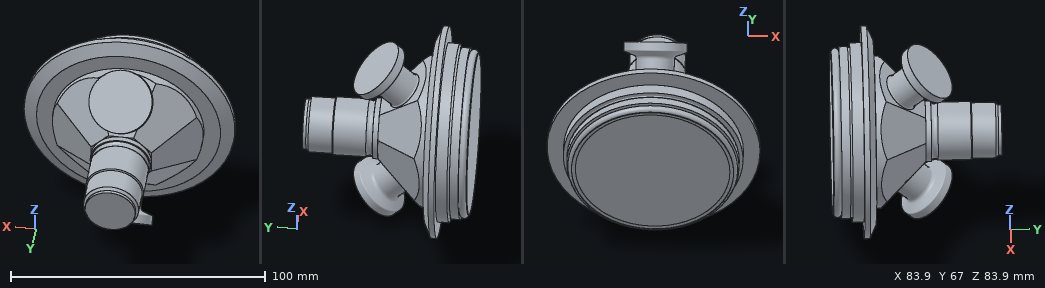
import cadquery as cq
import math

end_disc_thickness = 0.3
land_start = 3.35
land_end = 6.8
relief_end = 7.6
flange_start = 12.2
flange_rim_end = 14.4
flange_end = 16.95
pyramid_top = 37.0
collar_end = 39.2
neck_start = 41.8
neck_step_start = 54.8
neck_step_end = 55.2
tip_chamfer_start = 64.6
overall_length = 67.0

end_disc_diameter = 63.9
land_diameter = 67.9
relief_depth = 0.4
spigot_diameter = 70.8
flange_diameter = 83.9
flange_back_diameter = 73.2
shoulder_diameter = 60.0

collar_diameter = 24.0
neck_diameter = 23.0
neck_groove_depth = 0.7
tip_body_diameter = 22.0
tip_diameter = 20.0

facet_count = 8
facet_angle = 45.0

ring_section_diameter = land_start - end_disc_thickness
ring_section_radius = ring_section_diameter / 2
ring_centre_radius = end_disc_diameter / 2
ring_centre_y = end_disc_thickness + ring_section_radius
ring_groove_radius = ring_centre_radius - ring_section_radius

port_length = 16.0
port_tube_diameter = 15.0
port_flange_diameter = 25.0
port_rim_thickness = 3.7
port_flange_taper = 20.0
port_rim_fillet = 0.5
port_neck_fillet = 1.5
port_foot_fillet = 0.5
port_offset_down_facet = 13.5


def turned_about_y(profile):
    """Revolve a profile of (radius, y) points about the Y axis."""
    return profile.close().revolve(360, (0, 0, 0), (0, 1, 0))


def make_head_base():
    """Turned base with the end disc, O-ring groove, land, flange and shoulder."""
    land_radius = land_diameter / 2
    spigot_radius = spigot_diameter / 2
    shoulder_radius = shoulder_diameter / 2
    relief_middle = (land_radius - relief_depth, (land_end + relief_end) / 2)
    profile = (
        cq.Workplane("XY")
        .lineTo(end_disc_diameter / 2, 0)
        .lineTo(end_disc_diameter / 2, end_disc_thickness)
        .lineTo(ring_groove_radius, end_disc_thickness)
        .lineTo(ring_groove_radius, land_start)
        .lineTo(land_radius, land_start)
        .lineTo(land_radius, land_end)
        .threePointArc(relief_middle, (land_radius, relief_end))
        .lineTo(spigot_radius, relief_end)
        .lineTo(spigot_radius, flange_start)
        .lineTo(flange_diameter / 2, flange_start)
        .lineTo(flange_diameter / 2, flange_rim_end)
        .lineTo(flange_back_diameter / 2, flange_end)
        .lineTo(0, flange_end)
    )
    shoulder_blank = (
        cq.Workplane("XZ", origin=(0, flange_end, 0))
        .circle(shoulder_radius)
        .extrude(flange_end - pyramid_top)
    )
    return turned_about_y(profile).union(shoulder_blank.intersect(make_pyramid()))


def make_pyramid():
    """Truncated pyramid whose facets just touch the collar at its top."""
    height = pyramid_top - flange_end
    top_apothem = collar_diameter / 2
    base_apothem = top_apothem + height / math.tan(math.radians(facet_angle))
    corner_ratio = 1 / math.cos(math.pi / facet_count)
    half_facet = 180 / facet_count
    pyramid = (
        cq.Workplane("XY")
        .polygon(facet_count, 2 * base_apothem * corner_ratio)
        .workplane(offset=height)
        .polygon(facet_count, 2 * top_apothem * corner_ratio)
        .loft(ruled=True)
    )
    return (
        pyramid.rotate((0, 0, 0), (0, 0, 1), half_facet)
        .rotate((0, 0, 0), (1, 0, 0), -90)
        .translate((0, flange_end, 0))
    )


def make_neck():
    """Turned neck with a collar, a round groove, a step and a chamfered tip."""
    collar_radius = collar_diameter / 2
    neck_radius = neck_diameter / 2
    tip_body_radius = tip_body_diameter / 2
    tip_radius = tip_diameter / 2
    tip_chamfer_end = tip_chamfer_start + tip_body_radius - tip_radius
    groove_middle = (neck_radius - neck_groove_depth, (collar_end + neck_start) / 2)
    profile = (
        cq.Workplane("XY")
        .moveTo(0, pyramid_top)
        .lineTo(collar_radius, pyramid_top)
        .lineTo(collar_radius, collar_end)
        .lineTo(neck_radius, collar_end)
        .threePointArc(groove_middle, (neck_radius, neck_start))
        .lineTo(neck_radius, neck_step_start)
        .lineTo(tip_body_radius, neck_step_end)
        .lineTo(tip_body_radius, tip_chamfer_start)
        .lineTo(tip_radius, tip_chamfer_end)
        .lineTo(tip_radius, overall_length)
        .lineTo(0, overall_length)
    )
    return turned_about_y(profile)


def make_head():
    """Base and neck as one solid."""
    return make_head_base().union(make_neck())


def make_o_ring():
    """O-ring of round section, seated behind the end disc."""
    section = cq.Workplane("XY").moveTo(ring_centre_radius, ring_centre_y).circle(ring_section_radius)
    return section.revolve(360, (0, 0, 0), (0, 1, 0))


def make_upright_port():
    """Port standing on the XY plane with its tapered clamp flange at the top."""
    tube_radius = port_tube_diameter / 2
    flange_radius = port_flange_diameter / 2
    rim_bottom = port_length - port_rim_thickness
    taper_height = (flange_radius - tube_radius) * math.tan(math.radians(port_flange_taper))
    foot_bend = port_foot_fillet * (1 - math.sqrt(0.5))
    profile = (
        cq.Workplane("XZ")
        .lineTo(tube_radius + port_foot_fillet, 0)
        .threePointArc((tube_radius + foot_bend, foot_bend), (tube_radius, port_foot_fillet))
        .lineTo(tube_radius, rim_bottom - taper_height)
        .lineTo(flange_radius, rim_bottom)
        .lineTo(flange_radius, port_length)
        .lineTo(0, port_length)
        .close()
    )
    port = profile.revolve(360, (0, 0, 0), (0, 1, 0))
    neck_edge = cq.selectors.NearestToPointSelector((0, 0, rim_bottom - taper_height))
    rim_edge = cq.selectors.BoxSelector(
        (-flange_radius - 0.8, -flange_radius - 0.8, rim_bottom - port_rim_fillet),
        (flange_radius + 0.8, flange_radius + 0.8, rim_bottom + port_rim_fillet),
    )
    port = port.edges("%CIRCLE").edges(rim_edge).fillet(port_rim_fillet)
    return port.edges("%CIRCLE").edges(neck_edge).fillet(port_neck_fillet)


def make_port(side):
    """Port on the upper (side = 1) or lower (side = -1) pyramid facet."""
    slope = math.radians(facet_angle)
    foot_y = pyramid_top - port_offset_down_facet * math.sin(slope)
    foot_z = collar_diameter / 2 + port_offset_down_facet * math.cos(slope)
    port = make_upright_port().rotate((0, 0, 0), (1, 0, 0), -facet_angle)
    port = port.translate((0, foot_y, foot_z))
    if side < 0:
        port = port.mirror("XY")
    return port


head = make_head()
o_ring = make_o_ring()
ports = [make_port(side) for side in (1, -1)]

result = cq.Compound.makeCompound([head.val(), o_ring.val(), *[port.val() for port in ports]])